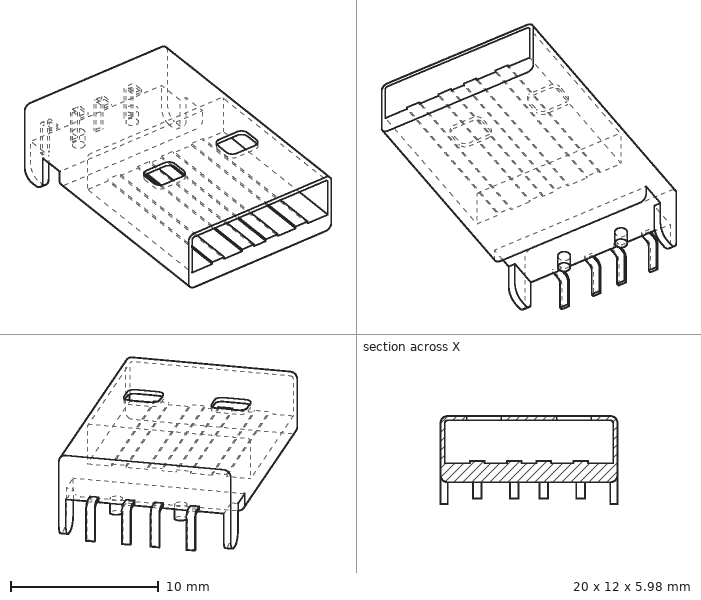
import cadquery as cq


shell_length = 18.8
shell_width = 12.0
shell_height = 4.5
edge_radius = 0.5
wall = 0.3
cavity_depth = 12.0
cavity_start = shell_length - cavity_depth

rear_length = 4.0
rear_underside = 1.3
leg_length = 2.1
leg_thickness = 0.5
leg_drop = 1.48
leg_radius = 0.85
peg_diameter = 0.85
peg_height = 1.05
peg_spacing = 4.5

window_length = 2.0
window_width = 2.5
window_radius = 0.5
window_start = 11.0
window_spacing = 6.1

contact_offsets = (-3.5, -1.0, 1.0, 3.5)
contact_width = 1.0
contact_height = 0.15
tongue_top = 1.3
tail_width = 0.6
tail_thickness = 0.22
tail_top = 1.68
tail_reach = 1.2
tail_bottom = -1.1
bend_radius = 0.45


def block(x_range, y_range, z_range):
    """Box between the given (low, high) limits on each axis."""
    (x0, x1), (y0, y1), (z0, z1) = x_range, y_range, z_range
    return cq.Workplane("XY").box(x1 - x0, y1 - y0, z1 - z0, centered=False).translate((x0, y0, z0))


def make_body():
    """Shell with its rounded long edges and the raised underside at the rear."""
    half_width = shell_width / 2
    body = block((0, shell_length), (-half_width, half_width), (0, shell_height))
    body = body.edges("|X").fillet(edge_radius)
    return body.cut(block((0, rear_length), (-half_width, half_width), (0, rear_underside)))


def make_cavity():
    """Space above the tongue, open at the mouth and closed by the solid rear block."""
    half_width = shell_width / 2 - wall
    cavity = block(
        (cavity_start, shell_length),
        (-half_width, half_width),
        (tongue_top, shell_height - wall),
    )
    return cavity.edges("|X and >Z").fillet(edge_radius - wall)


def make_windows():
    """Cutters for the two latch windows, reaching from the top face into the cavity."""
    window_x = window_start + window_length / 2
    centres = [(window_x, side * window_spacing / 2) for side in (-1, 1)]
    windows = (
        cq.Workplane("XY")
        .workplane(offset=shell_height - wall)
        .pushPoints(centres)
        .rect(window_length, window_width)
        .extrude(wall)
    )
    return windows.edges("|Z").fillet(window_radius)


def make_leg(side):
    """Mounting leg with a rounded foot, flush with the outer wall on the given side."""
    outer_y = side * shell_width / 2
    inner_y = outer_y - side * leg_thickness
    leg = block((0, leg_length), sorted((inner_y, outer_y)), (-leg_drop, rear_underside))
    return leg.edges("|Y and <Z").fillet(leg_radius)


def make_pegs():
    """Locating pegs hanging from the raised underside, in line with the legs."""
    centres = [(leg_length / 2, side * peg_spacing / 2) for side in (-1, 1)]
    return (
        cq.Workplane("XY")
        .workplane(offset=rear_underside - peg_height)
        .pushPoints(centres)
        .circle(peg_diameter / 2)
        .extrude(peg_height)
    )


def make_contact(y):
    """Contact strip standing slightly proud of the tongue."""
    return block(
        (cavity_start, shell_length),
        (y - contact_width / 2, y + contact_width / 2),
        (tongue_top, tongue_top + contact_height),
    )


def make_tail(y):
    """Solder tail leaving the rear face and bending down."""
    y_range = (y - tail_width / 2, y + tail_width / 2)
    outside = block((-tail_reach, rear_length), y_range, (tail_bottom, tail_top))
    outside = outside.edges("|Y and <X and >Z").fillet(bend_radius)
    inside = block(
        (tail_thickness - tail_reach, rear_length),
        y_range,
        (tail_bottom, tail_top - tail_thickness),
    )
    inside = inside.edges("|Y and <X and >Z").fillet(bend_radius - tail_thickness)
    return outside.cut(inside)


result = make_body().cut(make_cavity()).cut(make_windows())
for side in (-1, 1):
    result = result.union(make_leg(side))
result = result.union(make_pegs())
for y in contact_offsets:
    result = result.union(make_contact(y)).union(make_tail(y))